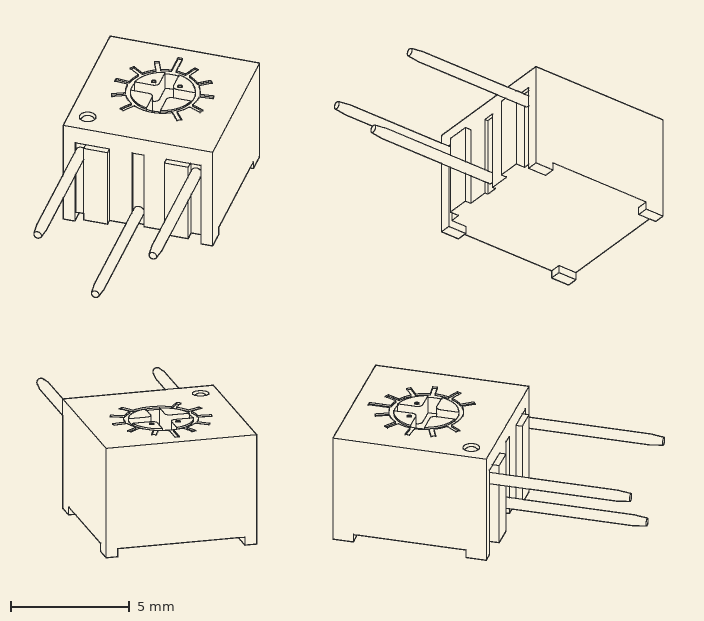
import cadquery as cq


width = 6.6
depth = 6.72
height = 4.88
foot_height = 0.36
foot_depth = 0.9

pin_pitch = 2.54
pin_radius = 0.237
pin_drop = 1.32
pin_tip_y = depth - 12.83
pin_shoulder_length = 0.15
pin_shoulder_radius = 0.22
pin_taper_length = 0.38
pin_taper_radius = 0.18
pin_end_length = 0.04
pin_end_radius = 0.17
upper_pin_z = height - pin_drop
lower_pin_z = upper_pin_z - pin_pitch
pin_places = [(-pin_pitch, upper_pin_z), (0, lower_pin_z), (pin_pitch, upper_pin_z)]

groove_top_z = height - 0.8
groove_depth = 0.15
outer_groove_width = 2 * pin_radius
middle_groove_width = 0.53
pad_width = 1.05
pad_thickness = 0.28
foot_width = width / 2 - pin_pitch - outer_groove_width / 2

rotor_y = 3.57
rotor_radius = 1.37
rotor_height = 1.28
slot_width = 0.62
slot_depth = 0.83
slot_corner_radius = 0.22
dimple_offset = 0.58
dimple_radius = 0.096
dimple_depth = 0.05

dial_depth = 0.08
dial_ring_radius = 1.58
tick_width = 0.2
tick_reach = 2.17
main_tick_reach = 2.51
first_tick_angle = 24
tick_step = 30
ticks_per_side = 5

dot_x = -2.49
dot_y = 0.89
dot_radius = 0.35


def box(x_min, x_max, y_min, y_max, z_min, z_max):
    """A block between the given limits."""
    size = (x_max - x_min, y_max - y_min, z_max - z_min)
    return cq.Workplane("XY").box(*size, centered=False).translate((x_min, y_min, z_min))


def make_block_on_feet():
    """The housing block, standing on a foot at each corner."""
    half = width / 2
    inner = half - foot_width
    block = box(-half, half, 0, depth, foot_height, height)
    for x_min, x_max in [(-half, -inner), (inner, half)]:
        for y_min, y_max in [(0, foot_depth), (depth - foot_depth, depth)]:
            block = block.union(box(x_min, x_max, y_min, y_max, 0, foot_height))
    return block


def make_groove(x, groove_width):
    """Cutter for a front groove that is open at the bottom of the block."""
    half = groove_width / 2
    return box(x - half, x + half, 0, groove_depth, foot_height, groove_top_z)


def make_pad(side):
    """Raised front pad next to the outer groove on the given side (-1 or 1)."""
    outer_x = pin_pitch - outer_groove_width / 2
    x_min, x_max = sorted([side * outer_x, side * (outer_x - pad_width)])
    return box(x_min, x_max, -pad_thickness, 0, foot_height, groove_top_z)


def make_tick(angle, reach):
    """Cutter for one dial tick, turned by an angle in degrees from +Y."""
    half = tick_width / 2
    tick = box(-half, half, 0, reach, height - dial_depth, height)
    return tick.rotate((0, 0, 0), (0, 0, 1), angle).translate((0, rotor_y, 0))


def make_rotor_disc(radius, thickness):
    """A disc on the rotor axis, level with the top of the housing."""
    disc = cq.Workplane("XY").circle(radius).extrude(thickness)
    return disc.translate((0, rotor_y, height - thickness))


def make_dial():
    """Cutter for the engraved ring and its ticks."""
    dial = make_rotor_disc(dial_ring_radius, dial_depth).union(make_tick(0, main_tick_reach))
    for number in range(ticks_per_side):
        angle = first_tick_angle + number * tick_step
        for side in (-1, 1):
            dial = dial.union(make_tick(side * angle, tick_reach))
    return dial


def make_dot_pocket():
    """Cutter for the flat-bottomed pocket of the marker dot."""
    pocket = cq.Workplane("XY").circle(dot_radius).extrude(dot_radius)
    return pocket.translate((dot_x, dot_y, height - dot_radius))


def make_housing():
    body = make_block_on_feet()
    for x in (-pin_pitch, pin_pitch):
        body = body.cut(make_groove(x, outer_groove_width))
    body = body.cut(make_groove(0, middle_groove_width))
    for side in (-1, 1):
        body = body.union(make_pad(side))
    body = body.cut(make_dial())
    body = body.cut(make_rotor_disc(rotor_radius, rotor_height))
    return body.cut(make_dot_pocket())


def make_rotor():
    """Disc with a cross slot whose inner corners are rounded, and two small dimples."""
    span = 2 * rotor_radius
    cross = cq.Workplane("XY").rect(span, slot_width).extrude(slot_depth)
    cross = cross.union(cq.Workplane("XY").rect(slot_width, span).extrude(slot_depth))
    inner_corners = cq.selectors.BoxSelector(
        (-slot_width, -slot_width, 0), (slot_width, slot_width, slot_depth)
    )
    cross = cross.edges("|Z").edges(inner_corners).fillet(slot_corner_radius)
    cross = cross.translate((0, rotor_y, height - slot_depth))

    dimple_places = [(-dimple_offset, dimple_offset), (dimple_offset, dimple_offset)]
    dimples = cq.Workplane("XY").pushPoints(dimple_places).circle(dimple_radius).extrude(dimple_depth)
    dimples = dimples.translate((0, rotor_y, height - dimple_depth))
    return make_rotor_disc(rotor_radius, rotor_height).cut(cross).cut(dimples)


def make_dot():
    """Hemisphere on the pocket floor, its crown level with the top of the housing."""
    profile = cq.Workplane("XZ").lineTo(dot_radius, 0)
    profile = profile.radiusArc((0, dot_radius), -dot_radius).close()
    dome = profile.revolve(360, (0, 0, 0), (0, 1, 0))
    return dome.translate((dot_x, dot_y, height - dot_radius))


def make_pin(x, z):
    """Round pin from the groove floor to its tapered tip."""
    end_y = pin_tip_y + pin_end_length
    taper_y = end_y + pin_taper_length
    shoulder_y = taper_y + pin_shoulder_length
    half_profile = [
        (0, groove_depth),
        (pin_radius, groove_depth),
        (pin_radius, shoulder_y),
        (pin_shoulder_radius, taper_y),
        (pin_taper_radius, end_y),
        (pin_end_radius, pin_tip_y),
        (0, pin_tip_y),
    ]
    pin = cq.Workplane("XY").polyline(half_profile).close().revolve(360, (0, 0, 0), (0, 1, 0))
    return pin.translate((x, 0, z))


housing = make_housing()
rotor = make_rotor()
dot = make_dot()
pins = [make_pin(x, z) for x, z in pin_places]

result = cq.Compound.makeCompound([housing.val(), rotor.val(), dot.val(), *[pin.val() for pin in pins]])